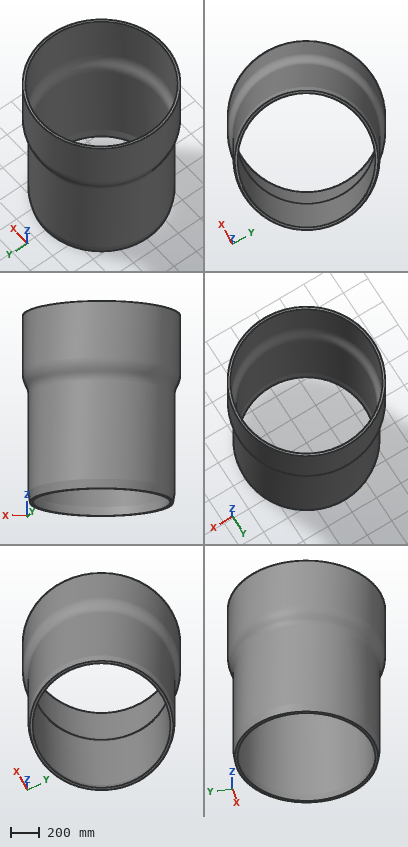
import cadquery as cq
import math

length = 1320.0
wall = 20.0
socket_radius = 1100.0 / 2
spigot_radius = 1020.0 / 2
end_radius = 499.0

socket_bottom = 919.0
shoulder_middle = 828.0
shoulder_bottom = 767.0
taper_top = 65.0

shoulder_step = socket_radius - spigot_radius
shoulder_height = socket_bottom - shoulder_bottom
arc_angle = 2 * math.atan2(shoulder_step, shoulder_height)
upper_arc_radius = (socket_bottom - shoulder_middle) / math.sin(arc_angle)
lower_arc_radius = (shoulder_middle - shoulder_bottom) / math.sin(arc_angle)


def upper_arc_point(angle, inset):
    """Point on the convex shoulder arc, at an angle below its top and an inset into the wall."""
    center = socket_radius - upper_arc_radius
    radius = upper_arc_radius - inset
    return (center + radius * math.cos(angle), socket_bottom - radius * math.sin(angle))


def lower_arc_point(angle, inset):
    """Point on the concave shoulder arc, at an angle above its bottom and an inset into the wall."""
    center = spigot_radius + lower_arc_radius
    radius = lower_arc_radius + inset
    return (center - radius * math.cos(angle), shoulder_bottom + radius * math.sin(angle))


profile = (
    cq.Workplane("XZ")
    .moveTo(socket_radius, length)
    .lineTo(socket_radius, socket_bottom)
    .threePointArc(upper_arc_point(arc_angle / 2, 0), upper_arc_point(arc_angle, 0))
    .threePointArc(lower_arc_point(arc_angle / 2, 0), lower_arc_point(0, 0))
    .lineTo(spigot_radius, taper_top)
    .lineTo(end_radius, 0)
    .lineTo(end_radius - wall, 0)
    .lineTo(spigot_radius - wall, taper_top)
    .lineTo(*lower_arc_point(0, wall))
    .threePointArc(lower_arc_point(arc_angle / 2, wall), lower_arc_point(arc_angle, wall))
    .threePointArc(upper_arc_point(arc_angle / 2, wall), upper_arc_point(0, wall))
    .lineTo(socket_radius - wall, length)
    .close()
)

result = profile.revolve(360, (0, 0, 0), (0, 1, 0))